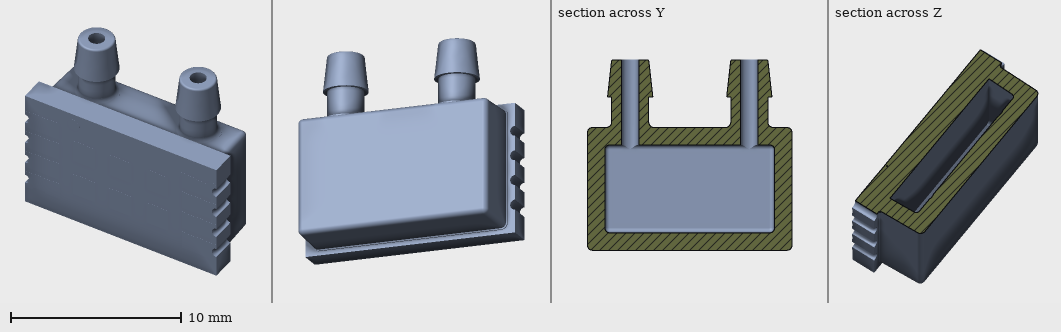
import cadquery as cq
import math

BOARD_WIDTH = 13.21
BOARD_HEIGHT = 8.0
PAD_THICKNESS = 0.007
PADDED_THICKNESS = 1.59
BOARD_THICKNESS = PADDED_THICKNESS - PAD_THICKNESS
MID_Z = BOARD_HEIGHT / 2

NOTCH_RADIUS = 0.3
TERMINAL_PITCH = 1.52
TERMINAL_COUNT = 4

TERMINAL_LENGTH = 2.38
TERMINAL_HEIGHT = 1.22
SQUARE_SIZE = 1.5
SQUARE_PITCH = 2.52
SQUARE_COLUMNS = 3
SQUARE_ROWS = 2
DOT_DIAMETER = 0.77
DOT_X = -3.24
DOT_Z = 7.23

SPECIAL_LENGTH = 2.42
SPECIAL_BEVEL = 0.12
SPECIAL_FOOT_START = 0.48
SPECIAL_FOOT_RISE = 0.2
SPECIAL_STEP_START = 1.33
SPECIAL_STEP = 0.1

HOUSING_WIDTH = 12.13
HOUSING_HEIGHT = 7.32
HOUSING_DEPTH = 2.99
HOUSING_ROUND = 0.32
DRAFT_ANGLE = 1.5
LIP_OVERHANG = 0.08
LIP_THICKNESS = 0.08

PORT_SPACING = 7.0
PORT_Y = 1.43
PORT_TOP = 11.6
STEM_DIAMETER = 2.2
BARB_BOTTOM = 9.39
BARB_DIAMETER = 2.7
BARB_TIP_DIAMETER = 2.2
BARB_ROUND = 0.13
ROOT_RADIUS = 0.3
BORE_DIAMETER = 1.0

CHAMBER_DEPTH = PORT_Y + BORE_DIAMETER / 2
WALL = HOUSING_DEPTH - CHAMBER_DEPTH
CHAMBER_ROUND = 0.25

HALF_WIDTH = BOARD_WIDTH / 2
HOUSING_TOP = MID_Z + HOUSING_HEIGHT / 2
PORT_POSITIONS = (-PORT_SPACING / 2, PORT_SPACING / 2)


def centred_steps(count, pitch):
    """Evenly spaced offsets, symmetric about zero."""
    return [(i - (count - 1) / 2) * pitch for i in range(count)]


def rear_block(width, height, depth, taper=0):
    """Block growing rearwards from Y = 0, centred on the board."""
    rear = cq.Plane(origin=(0, 0, MID_Z), xDir=(1, 0, 0), normal=(0, 1, 0))
    return cq.Workplane(rear).rect(width, height).extrude(depth, taper=taper)


def front_plane(y):
    """Plane facing forwards at the given Y, with its origin at the board centre."""
    return cq.Workplane("XZ", origin=(0, y, MID_Z))


def notch_centres():
    heights = centred_steps(TERMINAL_COUNT, TERMINAL_PITCH)
    return [(side * HALF_WIDTH, z) for side in (-1, 1) for z in heights]


def make_board():
    return front_plane(0).rect(BOARD_WIDTH, BOARD_HEIGHT).extrude(BOARD_THICKNESS)


def special_pad():
    """Stepped terminal pad at the lower left corner."""
    centre = centred_steps(TERMINAL_COUNT, TERMINAL_PITCH)[0]
    top = centre + TERMINAL_HEIGHT / 2
    bottom = centre - TERMINAL_HEIGHT / 2
    waist = bottom + SPECIAL_FOOT_RISE
    step_bottom = waist - SPECIAL_STEP
    outline = [
        (0, top - SPECIAL_BEVEL),
        (SPECIAL_BEVEL, top),
        (SPECIAL_LENGTH, top),
        (SPECIAL_LENGTH, step_bottom),
        (SPECIAL_STEP_START + SPECIAL_STEP, step_bottom),
        (SPECIAL_STEP_START, waist),
        (SPECIAL_FOOT_START + SPECIAL_FOOT_RISE, waist),
        (SPECIAL_FOOT_START, bottom),
        (SPECIAL_BEVEL, bottom),
        (0, bottom + SPECIAL_BEVEL),
    ]
    points = [(x - HALF_WIDTH, z) for x, z in outline]
    return front_plane(-BOARD_THICKNESS).polyline(points).close().extrude(PAD_THICKNESS)


def make_pads():
    face = front_plane(-BOARD_THICKNESS)
    columns = centred_steps(SQUARE_COLUMNS, SQUARE_PITCH)
    rows = centred_steps(SQUARE_ROWS, SQUARE_PITCH)
    squares = [(x, z) for x in columns for z in rows]
    pads = face.pushPoints(squares).rect(SQUARE_SIZE, SQUARE_SIZE).extrude(PAD_THICKNESS)

    heights = centred_steps(TERMINAL_COUNT, TERMINAL_PITCH)
    inset = HALF_WIDTH - TERMINAL_LENGTH / 2
    plain = [(-inset, z) for z in heights[1:]] + [(inset, z) for z in heights[:-1]]
    pads = pads.add(face.pushPoints(plain).rect(TERMINAL_LENGTH, TERMINAL_HEIGHT).extrude(PAD_THICKNESS))

    lower_left = special_pad()
    upper_right = lower_left.rotate((0, 0, MID_Z), (0, 1, MID_Z), 180)
    pads = pads.add(lower_left).add(upper_right)

    dot = face.center(DOT_X, DOT_Z - MID_Z).circle(DOT_DIAMETER / 2).extrude(PAD_THICKNESS)
    return pads.add(dot).combine()


def make_notches():
    centres = front_plane(0).pushPoints(notch_centres())
    return centres.circle(NOTCH_RADIUS).extrude(PADDED_THICKNESS)


def make_housing():
    body = rear_block(HOUSING_WIDTH, HOUSING_HEIGHT, HOUSING_DEPTH, DRAFT_ANGLE)
    body = body.edges("not(<Y)").fillet(HOUSING_ROUND)
    lip = rear_block(
        HOUSING_WIDTH + 2 * LIP_OVERHANG, HOUSING_HEIGHT + 2 * LIP_OVERHANG, LIP_THICKNESS
    )
    lip = lip.edges("|Y").fillet(HOUSING_ROUND + LIP_OVERHANG)
    return body.union(lip)


def make_chamber():
    chamber = rear_block(
        HOUSING_WIDTH - 2 * WALL, HOUSING_HEIGHT - 2 * WALL, CHAMBER_DEPTH, DRAFT_ANGLE
    )
    return chamber.edges("not(<Y)").fillet(CHAMBER_ROUND)


def make_port(x):
    """Barbed tube with a concave root where it meets the sloping housing top."""
    stem_radius = STEM_DIAMETER / 2
    tip_radius = BARB_TIP_DIAMETER / 2
    root_z = HOUSING_TOP - PORT_Y * math.tan(math.radians(DRAFT_ANGLE))
    root_top = root_z + ROOT_RADIUS
    root_edge = stem_radius + ROOT_RADIUS
    arc_reach = ROOT_RADIUS * (1 - math.sqrt(0.5))
    profile = (
        cq.Workplane("XZ")
        .moveTo(0, MID_Z)
        .lineTo(root_edge, MID_Z)
        .lineTo(root_edge, root_z)
        .threePointArc((stem_radius + arc_reach, root_z + arc_reach), (stem_radius, root_top))
        .lineTo(stem_radius, BARB_BOTTOM)
        .lineTo(BARB_DIAMETER / 2, BARB_BOTTOM)
        .lineTo(tip_radius, PORT_TOP)
        .lineTo(0, PORT_TOP)
        .close()
    )
    port = profile.revolve(360, (0, 0, 0), (0, 1, 0))
    return port.faces(">Z").edges().fillet(BARB_ROUND).translate((x, PORT_Y, 0))


def make_bore(x):
    """Passage from the port tip down into the chamber."""
    bore = cq.Workplane("XY", origin=(x, PORT_Y, MID_Z))
    return bore.circle(BORE_DIAMETER / 2).extrude(PORT_TOP - MID_Z)


result = make_board().union(make_pads()).cut(make_notches()).union(make_housing())
for port_x in PORT_POSITIONS:
    result = result.union(make_port(port_x))
result = result.cut(make_chamber())
for port_x in PORT_POSITIONS:
    result = result.cut(make_bore(port_x))